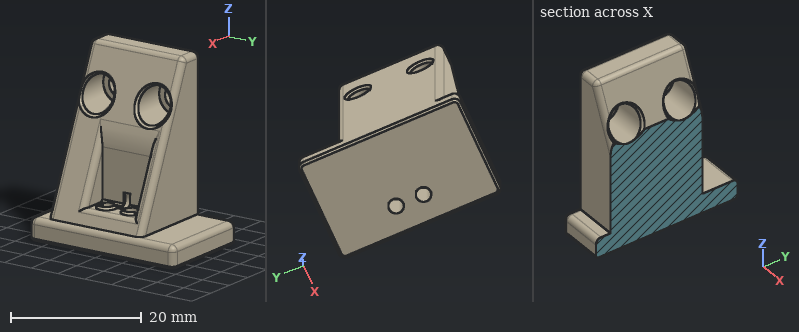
import cadquery as cq
import math

base_length = 16.87
base_width = 27.03
base_height = 3.7
edge_radius = 1.0
bottom_chamfer = 0.42

total_height = 29.7
upright_y_min = -10.72
upright_width = 17.52
upright_top_length = 4.45
upright_centre_y = upright_y_min + upright_width / 2

slope_foot_x = base_length - edge_radius
slope_run = slope_foot_x - upright_top_length
slope_rise = total_height - base_height
slope_angle = math.atan2(slope_rise, slope_run)
slope_direction = cq.Vector(math.cos(slope_angle), 0, -math.sin(slope_angle))
slope_normal = cq.Vector(math.sin(slope_angle), 0, math.cos(slope_angle))

screw_spacing = 10.45
screw_height = 22.2
screw_diameter = 3.6
counterbore_diameter = 5.8
counterbore_floor_x = 1.9
hole_chamfer = 0.42

pocket_back_x = 10.05
pocket_floor_z = 6.1
pocket_width = 9.03
pocket_chamfer = 0.35
pocket_top_radius = 10.1

pin_spacing = 4.6
pin_x = 12.2
pin_diameter = 2.38
pin_rim_height = 0.42
notch_width = 1.2
notch_depth = 0.15

groove_width = 1.2
groove_radius = 1.3
groove_x = 10.8
groove_depth = 0.2

overshoot = 5.95


def slope_x(z):
    """X of the sloping face at height z."""
    return slope_foot_x - (z - base_height) * slope_run / slope_rise


def make_base():
    block = cq.Workplane("XY").box(base_length, base_width, base_height, centered=(False, True, False))
    rounded = block.edges("|Z or >Z").fillet(edge_radius)
    return rounded.faces("<Z").chamfer(bottom_chamfer)


def make_upright():
    foot_z = base_height - edge_radius
    outline = [
        (0, foot_z),
        (slope_x(foot_z), foot_z),
        (upright_top_length, total_height),
        (0, total_height),
    ]
    wedge = (
        cq.Workplane("XZ", origin=(0, upright_y_min, 0))
        .polyline(outline)
        .close()
        .extrude(-upright_width)
    )
    return wedge.edges("not <Z").fillet(edge_radius)


def cut_screw_holes(body):
    for side in (-1, 1):
        y = upright_centre_y + side * screw_spacing / 2
        plane = cq.Workplane("YZ", origin=(0, y, screw_height))
        hole = plane.circle(screw_diameter / 2).extrude(base_length)
        counterbore = (
            plane.workplane(offset=counterbore_floor_x)
            .circle(counterbore_diameter / 2)
            .extrude(base_length)
        )
        body = body.cut(hole).cut(counterbore)
    return body


def chamfer_screw_holes(body):
    for side in (-1, 1):
        y = upright_centre_y + side * screw_spacing / 2
        reach = counterbore_diameter / 2 + hole_chamfer
        back_rim = cq.selectors.BoxSelector(
            (-0.3, y - reach, screw_height - reach), (0.3, y + reach, screw_height + reach)
        )
        mouth_rim = cq.selectors.BoxSelector(
            (slope_x(screw_height + reach), y - reach, screw_height - reach),
            (base_length, y + reach, screw_height + reach),
            boundingbox=True,
        )
        body = body.edges(back_rim).chamfer(hole_chamfer)
        body = body.edges(mouth_rim).chamfer(hole_chamfer)
    return body


def make_pocket():
    front_x = slope_x(pocket_floor_z)
    front_setback = edge_radius * math.tan(slope_angle / 2)
    slope_from_vertical = math.pi / 2 - slope_angle
    back_top_z = base_height + (slope_foot_x - pocket_back_x) * slope_rise / slope_run
    back_setback = pocket_top_radius * math.tan(slope_from_vertical / 2)

    front_corner = cq.Vector(front_x, 0, pocket_floor_z)
    front_floor_end = front_corner - cq.Vector(front_setback, 0, 0)
    front_slope_end = front_corner + slope_direction * front_setback
    front_centre = front_floor_end - cq.Vector(0, 0, edge_radius)
    front_bisector = (slope_normal + cq.Vector(0, 0, 1)).normalized()
    front_middle = front_centre + front_bisector * edge_radius

    back_corner = cq.Vector(pocket_back_x, 0, back_top_z)
    back_wall_end = back_corner - cq.Vector(0, 0, back_setback)
    back_slope_end = back_corner - slope_direction * back_setback
    back_centre = back_wall_end - cq.Vector(pocket_top_radius, 0, 0)
    back_bisector = (slope_normal + cq.Vector(1, 0, 0)).normalized()
    back_middle = back_centre + back_bisector * pocket_top_radius

    def xz(point):
        return (point.x, point.z)

    outside = slope_normal * overshoot
    lengthwise = (
        cq.Workplane("XZ", origin=(0, pocket_width, 0))
        .moveTo(*xz(back_slope_end))
        .threePointArc(xz(back_middle), xz(back_wall_end))
        .lineTo(pocket_back_x, pocket_floor_z + pocket_chamfer)
        .lineTo(pocket_back_x + pocket_chamfer, pocket_floor_z)
        .lineTo(*xz(front_floor_end))
        .threePointArc(xz(front_middle), xz(front_slope_end))
        .lineTo(*xz(front_slope_end + outside))
        .lineTo(*xz(back_slope_end + outside))
        .close()
        .extrude(2 * pocket_width)
    )

    inner_y = pocket_width / 2
    mouth_y = inner_y + edge_radius
    crosswise = (
        cq.Workplane(cq.Plane(front_slope_end.toTuple(), xDir=(0, -1, 0), normal=slope_direction.toTuple()))
        .moveTo(-inner_y, base_length)
        .lineTo(-inner_y, edge_radius)
        .radiusArc((-mouth_y, 0), edge_radius)
        .lineTo(-mouth_y, -overshoot)
        .lineTo(mouth_y, -overshoot)
        .lineTo(mouth_y, 0)
        .radiusArc((inner_y, edge_radius), edge_radius)
        .lineTo(inner_y, base_length)
        .close()
        .extrude(total_height, both=True)
    )
    return lengthwise.intersect(crosswise)


def add_pin_holes(body):
    rim_radius = pin_diameter / 2 + pin_rim_height
    for side in (-1, 1):
        y = side * pin_spacing / 2
        floor_plane = cq.Workplane("XY", origin=(pin_x, y, pocket_floor_z))
        rim = (
            floor_plane.circle(rim_radius)
            .workplane(offset=pin_rim_height)
            .circle(pin_diameter / 2)
            .loft()
        )
        rim_envelope = (
            floor_plane.workplane(offset=-notch_depth)
            .circle(rim_radius)
            .extrude(notch_depth + pin_rim_height)
        )
        notch = (
            floor_plane.workplane(offset=-notch_depth)
            .center(0, side * rim_radius / 2)
            .rect(notch_width, rim_radius)
            .extrude(notch_depth + pin_rim_height)
            .intersect(rim_envelope)
        )
        bore = (
            cq.Workplane("XY", origin=(pin_x, y, 0))
            .circle(pin_diameter / 2)
            .extrude(total_height)
        )
        body = body.union(rim).cut(notch).cut(bore)
    return body


def make_groove():
    centre_z = pocket_floor_z - groove_depth + groove_radius
    return (
        cq.Workplane("XZ", origin=(groove_x, groove_width / 2, centre_z))
        .circle(groove_radius)
        .extrude(groove_width)
    )


result = make_base().union(make_upright())
result = cut_screw_holes(result)
result = chamfer_screw_holes(result)
result = result.cut(make_pocket()).cut(make_groove())
result = add_pin_holes(result)